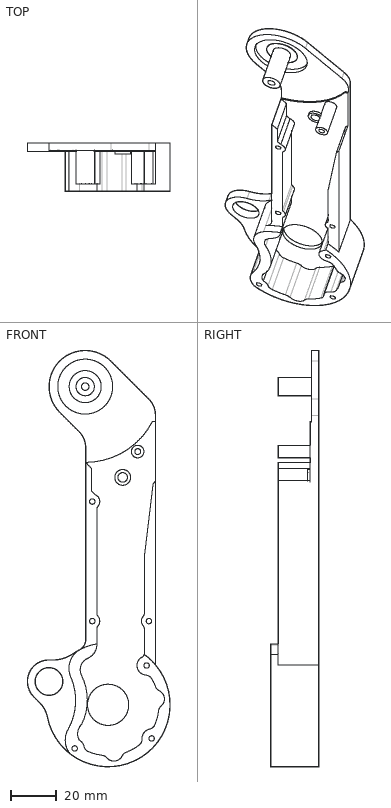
import cadquery as cq
import math

HEAD_THICK = 3.3
FLOOR_THICK = 3.8
WALL_FRONT = 17.9
DRUM_FRONT = 21.1

DRUM_R = 27.1
DRUM_CAVITY_R = 22.2
DRUM_SCREW_R = 24.0
DRUM_SCREW_ANGLES = (45.6, -37.7, 232.5)
DRUM_SCREW_BOSS_R = 4.2
RELIEF_ANGLES = (7, -83)
RELIEF_CENTRE_R = 20.8
RELIEF_R = 4.0
DRUM_BLEND_R = 3.3
DRUM_RECESS_DIA = 18.0
DRUM_RECESS_DEPTH = 1.8

TOTAL_HEIGHT = 182.2
HEAD_R = 15.8
HEAD_X = -10.0
HEAD_Z = TOTAL_HEIGHT - DRUM_R - HEAD_R
HEAD_BEND_R = 10.0
HEAD_CLEARANCE_R = 33.2
HEAD_RECESS_DIA = 24.0
HEAD_RECESS_DEPTH = 1.8
HEAD_RING_DIA = 14.0
HEAD_RING_HEIGHT = 0.2

ARM_MID_X = 5.5
ARM_WIDTH = 30.6
ARM_LEFT = ARM_MID_X - ARM_WIDTH / 2
ARM_RIGHT = ARM_MID_X + ARM_WIDTH / 2
ARM_FLOOR_TOP = 123.9
WALL_THICK = 5.0
INNER_LEFT = ARM_LEFT + WALL_THICK
INNER_RIGHT = ARM_RIGHT - WALL_THICK
THIN_WALL_THICK = 2.5
LEFT_WALL_TOP = 106.0
RIGHT_WALL_TOP = 98.0
RIGHT_TAPER_BOTTOM = 64.7
RIGHT_TAPER_TOP = 96.5
RIGHT_TAPER_END_THICK = 1.1
ARM_DRUM_FILLET_R = 5.1
ARM_SCREW_OFFSET = 12.4
ARM_SCREW_LOW_Z = 36.6
ARM_SCREW_HIGH_Z = 88.9
ARM_SCREW_BOSS_R = 3.3
ARM_BLEND_R = 1.8
SCREW_HOLE_DIA = 2.4
SCREW_HOLE_DEPTH = 11.0

EAR_X = -25.9
EAR_Z = 10.2
EAR_R = 9.5
EAR_HOLE_DIA = 12.0
EAR_TOP_BLEND_R = 15.8
EAR_BOTTOM_BLEND_R = 12.2

HEAD_POST_DIA = 8.0
HEAD_POST_HOLE_DIA = 3.3
ARM_POST_X = 13.0
ARM_POST_Z = 110.7
ARM_POST_DIA = 5.5
ARM_POST_HOLE_DIA = 2.5
POST_HOLE_DEPTH = 11.0
POST_FOOT = 1.8
BUSHING_X = 6.4
BUSHING_Z = 99.5
BUSHING_DIA = 7.0
BUSHING_HOLE_DIA = 4.2
BUSHING_FRONT = FLOOR_THICK + 1.1
BUSHING_HOLE_DEPTH = 2.7

BEYOND = 36.5
CORNER_REACH = 0.5
HALF_ROOT = math.sqrt(0.5)


def plane_at(depth):
    """Sketch plane facing -Y, the given distance in front of the back face."""
    return cq.Workplane("XZ", origin=(0, -depth, 0))


def disc(x, z, radius, start, end):
    return plane_at(start).center(x, z).circle(radius).extrude(end - start)


def prism(points, start, end):
    return plane_at(start).polyline(points).close().extrude(end - start)


def polar(radius, degrees):
    angle = math.radians(degrees)
    return radius * math.cos(angle), radius * math.sin(angle)


def circle_meet(a, a_r, b, b_r, side):
    """Meeting point of two circles, left (+1) or right (-1) of the line from a to b."""
    dx = b[0] - a[0]
    dz = b[1] - a[1]
    gap = math.hypot(dx, dz)
    along = (a_r**2 - b_r**2 + gap**2) / (2 * gap)
    across = side * math.sqrt(a_r**2 - along**2)
    return a[0] + (along * dx - across * dz) / gap, a[1] + (along * dz + across * dx) / gap


def fill_blend(corners, centre, radius, thickness):
    """Solid between a polygon of corners and a concave round cut into it."""
    return prism(corners, 0, thickness).cut(disc(*centre, radius, 0, thickness))


DRUM = (0, 0)
EAR = (EAR_X, EAR_Z)

ARM_ROUND_X = ARM_LEFT - ARM_DRUM_FILLET_R
ARM_ROUND = (ARM_ROUND_X, math.sqrt((DRUM_R + ARM_DRUM_FILLET_R) ** 2 - ARM_ROUND_X**2))
ARM_ROUND_END = tuple(DRUM_R / (DRUM_R + ARM_DRUM_FILLET_R) * value for value in ARM_ROUND)


def head_and_arm_plate():
    reach = HEAD_R * HALF_ROOT
    upper = (HEAD_X + reach, HEAD_Z + reach)
    lower = (HEAD_X - reach, HEAD_Z - reach)
    right_bend_z = upper[1] - (ARM_RIGHT - upper[0])
    left_bend_z = lower[1] - (ARM_LEFT - lower[0])
    outline = [
        (ARM_LEFT, 0),
        (ARM_LEFT, left_bend_z),
        lower,
        upper,
        (ARM_RIGHT, right_bend_z),
        (ARM_RIGHT, 0),
    ]
    plate = prism(outline, 0, HEAD_THICK)
    for x, z in ((ARM_LEFT, left_bend_z), (ARM_RIGHT, right_bend_z)):
        bend = cq.selectors.NearestToPointSelector((x, -HEAD_THICK / 2, z))
        plate = plate.edges("|Y").edges(bend).fillet(HEAD_BEND_R)
    return plate.union(disc(HEAD_X, HEAD_Z, HEAD_R, 0, HEAD_THICK))


ARM_SCREWS = [
    (ARM_MID_X - ARM_SCREW_OFFSET, ARM_SCREW_HIGH_Z),
    (ARM_MID_X - ARM_SCREW_OFFSET, ARM_SCREW_LOW_Z),
    (ARM_MID_X + ARM_SCREW_OFFSET, ARM_SCREW_LOW_Z),
]
DRUM_SCREWS = [polar(DRUM_SCREW_R, angle) for angle in DRUM_SCREW_ANGLES]


def arm():
    profile = plane_at(0).center(ARM_MID_X, ARM_FLOOR_TOP / 2).rect(ARM_WIDTH, ARM_FLOOR_TOP)
    block = profile.extrude(WALL_FRONT)
    block = block.cut(disc(HEAD_X, HEAD_Z, HEAD_CLEARANCE_R, HEAD_THICK, WALL_FRONT))
    corners = [DRUM, ARM_ROUND, (ARM_LEFT, ARM_ROUND[1])]
    return block.union(fill_blend(corners, ARM_ROUND, ARM_DRUM_FILLET_R, WALL_FRONT))


def ear():
    lug = disc(*EAR, EAR_R, 0, FLOOR_THICK)
    top = circle_meet(DRUM, DRUM_R + EAR_TOP_BLEND_R, EAR, EAR_R + EAR_TOP_BLEND_R, -1)
    lug = lug.union(fill_blend([DRUM, top, EAR], top, EAR_TOP_BLEND_R, FLOOR_THICK))
    edge_offset = EAR_R - (EAR_X + EAR_Z) * HALF_ROOT
    centre_offset = edge_offset + EAR_BOTTOM_BLEND_R
    centre_along = math.sqrt((DRUM_R + EAR_BOTTOM_BLEND_R) ** 2 - centre_offset**2)
    low = ((-centre_offset - centre_along) * HALF_ROOT, (-centre_offset + centre_along) * HALF_ROOT)
    shift = EAR_BOTTOM_BLEND_R * HALF_ROOT
    on_edge = (low[0] + shift, low[1] + shift)
    ear_edge = (EAR_X - EAR_R * HALF_ROOT, EAR_Z - EAR_R * HALF_ROOT)
    corners = [DRUM, EAR, ear_edge, on_edge, low]
    return lug.union(fill_blend(corners, low, EAR_BOTTOM_BLEND_R, FLOOR_THICK))


def outside_drum_wall():
    """Space left of the drum's wavy side wall, in front of the plate."""
    return (
        plane_at(FLOOR_THICK)
        .moveTo(-BEYOND, BEYOND)
        .lineTo(ARM_ROUND_END[0], BEYOND)
        .lineTo(*ARM_ROUND_END)
        .threePointArc((-16.8, 18.5), (-16.5, 12.8))
        .threePointArc((-14.2, 1.3), (-17.3, -10.4))
        .threePointArc((-18.8, -15.7), (-16.5, -21.5))
        .lineTo(-BEYOND, -BEYOND)
        .close()
        .extrude(DRUM_FRONT - FLOOR_THICK)
    )


def drum_side_space():
    """Cavity part bounded on the left by the inner face of the wavy side wall."""
    wall_end_z = math.sqrt(DRUM_R**2 - INNER_LEFT**2)
    return (
        plane_at(FLOOR_THICK)
        .moveTo(INNER_LEFT, wall_end_z)
        .threePointArc((-6.0, 22.8), (-8.7, 20.4))
        .threePointArc((-11.8, 17.3), (-11.7, 13.0))
        .threePointArc((-9.1, 1.5), (-11.5, -8.4))
        .threePointArc((-13.3, -13.3), (-12.0, -16.4))
        .lineTo(-12.0, -DRUM_R)
        .lineTo(DRUM_R, -DRUM_R)
        .lineTo(DRUM_R, wall_end_z)
        .close()
        .extrude(DRUM_FRONT - FLOOR_THICK)
    )


def near_any(points, reach):
    """Edge test: does the edge lie within reach of one of the (x, z) points?"""

    def test(edge):
        centre = edge.Center()
        return any(math.dist((centre.x, centre.z), point) < reach for point in points)

    return test


def drum_cavity():
    bore = disc(0, 0, DRUM_CAVITY_R, FLOOR_THICK, DRUM_FRONT)
    lead_in = plane_at(FLOOR_THICK).center(-DRUM_R / 2, DRUM_R / 2).rect(DRUM_R, DRUM_R)
    cavity = bore.union(lead_in.extrude(DRUM_FRONT - FLOOR_THICK)).intersect(drum_side_space())
    corners = []
    for angle in RELIEF_ANGLES:
        centre = polar(RELIEF_CENTRE_R, angle)
        cavity = cavity.union(disc(*centre, RELIEF_R, FLOOR_THICK, DRUM_FRONT))
        corners += [circle_meet(DRUM, DRUM_CAVITY_R, centre, RELIEF_R, side) for side in (1, -1)]
    for screw in DRUM_SCREWS:
        cavity = cavity.cut(disc(*screw, DRUM_SCREW_BOSS_R, FLOOR_THICK, DRUM_FRONT))
        corners += [circle_meet(DRUM, DRUM_CAVITY_R, screw, DRUM_SCREW_BOSS_R, side) for side in (1, -1)]
    return cavity.edges("|Y").filter(near_any(corners, CORNER_REACH)).fillet(DRUM_BLEND_R)


def channel():
    """Open space between the arm walls, with the wall tops left open at both sides."""
    thin_left = ARM_LEFT + THIN_WALL_THICK
    step_top = ARM_SCREW_HIGH_Z + ARM_SCREW_BOSS_R / HALF_ROOT
    step_bottom = step_top - (WALL_THICK - THIN_WALL_THICK)
    outline = [
        (INNER_LEFT, DRUM_CAVITY_R / 2),
        (INNER_LEFT, step_bottom),
        (thin_left, step_top),
        (thin_left, LEFT_WALL_TOP - THIN_WALL_THICK),
        (ARM_LEFT, LEFT_WALL_TOP),
        (ARM_LEFT, ARM_FLOOR_TOP),
        (ARM_RIGHT, ARM_FLOOR_TOP),
        (ARM_RIGHT, RIGHT_WALL_TOP),
        (ARM_RIGHT - RIGHT_TAPER_END_THICK, RIGHT_TAPER_TOP),
        (INNER_RIGHT, RIGHT_TAPER_BOTTOM),
        (INNER_RIGHT, DRUM_CAVITY_R / 2),
    ]
    space = prism(outline, FLOOR_THICK, DRUM_FRONT)
    corners = []
    for x, z in ARM_SCREWS:
        space = space.cut(disc(x, z, ARM_SCREW_BOSS_R, FLOOR_THICK, DRUM_FRONT))
        wall_x = INNER_LEFT if x < ARM_MID_X else INNER_RIGHT
        half_chord = math.sqrt(ARM_SCREW_BOSS_R**2 - (wall_x - x) ** 2)
        corners.append((wall_x, z - half_chord))
        if z == ARM_SCREW_LOW_Z:
            corners.append((wall_x, z + half_chord))
    boss_x, boss_z = DRUM_SCREWS[0]
    space = space.cut(disc(boss_x, boss_z, DRUM_SCREW_BOSS_R, FLOOR_THICK, DRUM_FRONT))
    half_chord = math.sqrt(DRUM_SCREW_BOSS_R**2 - (INNER_RIGHT - boss_x) ** 2)
    corners.append((INNER_RIGHT, boss_z + half_chord))
    return space.edges("|Y").filter(near_any(corners, CORNER_REACH)).fillet(ARM_BLEND_R)


def drum():
    wall = disc(*DRUM, DRUM_R, 0, DRUM_FRONT).cut(outside_drum_wall())
    return wall.union(disc(*DRUM, DRUM_R, 0, FLOOR_THICK))


def add_post(body, x, z, diameter, foot, front, hole_diameter, hole_depth):
    """Round post from foot to front, with a blind hole in its front end."""
    post = disc(x, z, diameter / 2, foot, front)
    hole = disc(x, z, hole_diameter / 2, front - hole_depth, front)
    return body.union(post).cut(hole)


def add_head_recess(body):
    floor = HEAD_THICK - HEAD_RECESS_DEPTH
    recess = disc(HEAD_X, HEAD_Z, HEAD_RECESS_DIA / 2, floor, HEAD_THICK)
    ring = disc(HEAD_X, HEAD_Z, HEAD_RING_DIA / 2, floor, floor + HEAD_RING_HEIGHT)
    body = body.cut(recess).union(ring)
    return add_post(
        body, HEAD_X, HEAD_Z, HEAD_POST_DIA, floor, WALL_FRONT, HEAD_POST_HOLE_DIA, POST_HOLE_DEPTH
    )


def drill_screw_holes(body, places, front):
    for x, z in places:
        body = body.cut(disc(x, z, SCREW_HOLE_DIA / 2, front - SCREW_HOLE_DEPTH, front))
    return body


body = drum().union(head_and_arm_plate()).union(arm()).union(ear())
body = body.cut(channel()).cut(drum_cavity())
body = body.cut(disc(*DRUM, DRUM_RECESS_DIA / 2, FLOOR_THICK - DRUM_RECESS_DEPTH, FLOOR_THICK))
body = body.cut(disc(*EAR, EAR_HOLE_DIA / 2, 0, FLOOR_THICK))
body = add_head_recess(body)
body = add_post(
    body, ARM_POST_X, ARM_POST_Z, ARM_POST_DIA, POST_FOOT, WALL_FRONT, ARM_POST_HOLE_DIA, POST_HOLE_DEPTH
)
body = add_post(
    body, BUSHING_X, BUSHING_Z, BUSHING_DIA, POST_FOOT, BUSHING_FRONT, BUSHING_HOLE_DIA, BUSHING_HOLE_DEPTH
)
body = drill_screw_holes(body, ARM_SCREWS, WALL_FRONT)
body = drill_screw_holes(body, DRUM_SCREWS, DRUM_FRONT)

result = body